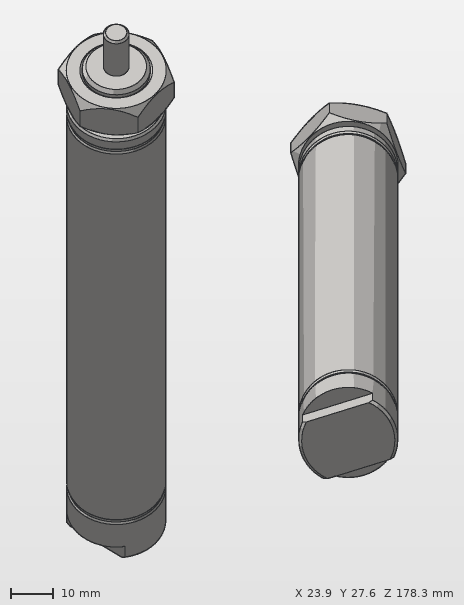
import cadquery as cq
import math

overall_length = 178.3

barrel_diameter = 23.4
shoulder_height = 152.8
barrel_edge_chamfer = 0.5
bottom_chamfer = 0.7
neck_diameter = 16.0
neck_top = 166.0
neck_chamfer = 0.9
groove_width = 1.8
groove_depth = 0.4
groove_floor_width = 0.7
groove_heights = [13.7, 148.7]
flat_spacing = 15.5
flat_height = 4.6

rod_diameter = 6.0
rod_chamfer = 0.5
rod_seat = shoulder_height

nut_across_flats = 23.9
nut_across_corners = nut_across_flats / math.cos(math.pi / 6)
nut_bottom = 155.0
nut_height = 9.6
nut_face_diameter = 23.5
nut_bore_chamfer = 0.5
nut_chamfer_angle = 45.0


def cut_grooves(body):
    """Turn a groove with sloped sides around the barrel at each cap joint."""
    outer = barrel_diameter / 2
    for height in groove_heights:
        groove = (
            cq.Workplane("XZ")
            .moveTo(outer, height - groove_width / 2)
            .lineTo(outer - groove_depth, height - groove_floor_width / 2)
            .lineTo(outer - groove_depth, height + groove_floor_width / 2)
            .lineTo(outer, height + groove_width / 2)
            .lineTo(barrel_diameter, height + groove_width / 2)
            .lineTo(barrel_diameter, height - groove_width / 2)
            .close()
            .revolve(360, (0, 0, 0), (0, 1, 0))
        )
        body = body.cut(groove)
    return body


def cut_flats(body):
    """Mill the two parallel wrench flats at the lower end."""
    for side in (-1, 1):
        cutter = cq.Workplane("XY").box(
            2 * barrel_diameter, barrel_diameter, flat_height, centered=(True, True, False)
        )
        body = body.cut(cutter.translate((0, side * (flat_spacing + barrel_diameter) / 2, 0)))
    return body


def make_cylinder():
    barrel = cq.Workplane("XY").circle(barrel_diameter / 2).extrude(shoulder_height)
    barrel = barrel.faces(">Z").edges().chamfer(barrel_edge_chamfer)
    barrel = barrel.faces("<Z").edges().chamfer(bottom_chamfer)
    neck = (
        cq.Workplane("XY", origin=(0, 0, shoulder_height))
        .circle(neck_diameter / 2)
        .extrude(neck_top - shoulder_height)
        .faces(">Z").edges().chamfer(neck_chamfer)
    )
    rod_bore = (
        cq.Workplane("XY", origin=(0, 0, rod_seat))
        .circle(rod_diameter / 2)
        .extrude(neck_top - rod_seat)
    )
    return cut_flats(cut_grooves(barrel)).union(neck).cut(rod_bore)


def make_rod():
    return (
        cq.Workplane("XY", origin=(0, 0, rod_seat))
        .circle(rod_diameter / 2)
        .extrude(overall_length - rod_seat)
        .faces(">Z").edges().chamfer(rod_chamfer)
    )


def make_nut():
    hexagon = (
        cq.Workplane("XY", origin=(0, 0, nut_bottom))
        .transformed(rotate=(0, 0, 90))
        .polygon(6, nut_across_corners)
        .extrude(nut_height)
    )
    radial_chamfer = (nut_across_corners - nut_face_diameter) / 2
    axial_chamfer = radial_chamfer * math.tan(math.radians(nut_chamfer_angle))
    envelope = (
        cq.Workplane("XY", origin=(0, 0, nut_bottom))
        .circle(nut_across_corners / 2)
        .extrude(nut_height)
        .faces("<Z").edges().chamfer(axial_chamfer, radial_chamfer)
        .faces(">Z").edges().chamfer(axial_chamfer, radial_chamfer)
    )
    bore = (
        cq.Workplane("XY", origin=(0, 0, nut_bottom))
        .circle(neck_diameter / 2)
        .extrude(nut_height)
    )
    nut_blank = hexagon.intersect(envelope).cut(bore)
    bore_rims = cq.selectors.RadiusNthSelector(0)
    return nut_blank.edges("%CIRCLE").edges(bore_rims).chamfer(nut_bore_chamfer)


cylinder = make_cylinder()
rod = make_rod()
nut = make_nut()

result = cq.Compound.makeCompound([cylinder.val(), rod.val(), nut.val()])